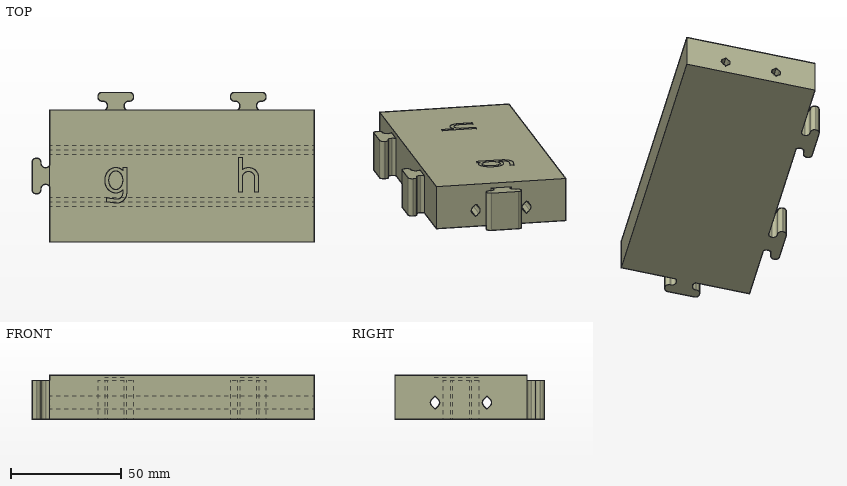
import cadquery as cq
import math

field_side = 60.0
slab_length = 2 * field_side
slab_height = 20.0
field_center_x = field_side / 2

tongue_reach = 7.9
tongue_height = 17.7
tongue_head_width = 16.2
tongue_neck_width = 7.7
tongue_radius = 1.9
tongue_flat = 0.3

hole_radius = 2.0
hole_spacing = 23.5
hole_center_z = 7.5

inlay_depth = 1.0
stroke = 1.8
x_height_top = 3.8
baseline = -7.3
ascender_top = 8.5

h_left = -4.5
h_right = 4.7

g_half_width = 5.0
g_bowl_bottom = -7.7
g_bowl_stroke = 1.5
g_hook_radius = 4.6
g_hook_center_y = -7.7
g_hook_end_x = -4.2
g_hook_end_rise = 0.6


def tongue():
    """Connector tongue standing on the line Y = 0 and pointing along +Y."""
    head_half_width = tongue_head_width / 2
    neck_half_width = tongue_neck_width / 2
    corner_x = head_half_width - tongue_radius
    hollow_x = neck_half_width + tongue_radius
    top_corner_y = tongue_reach - tongue_radius
    low_corner_y = top_corner_y - tongue_flat
    head_bottom = low_corner_y - tongue_radius
    top_hollow_y = head_bottom - tongue_radius
    low_hollow_y = top_hollow_y - tongue_flat
    root_half_width = hollow_x - math.sqrt(tongue_radius**2 - low_hollow_y**2)
    root_angle = math.asin(low_hollow_y / tongue_radius)
    root_mid_x = hollow_x - tongue_radius * math.cos(root_angle / 2)
    root_mid_y = low_hollow_y - tongue_radius * math.sin(root_angle / 2)
    diagonal = tongue_radius * math.sqrt(0.5)
    half_profile = (
        cq.Workplane("XY")
        .lineTo(root_half_width, 0)
        .threePointArc((root_mid_x, root_mid_y), (neck_half_width, low_hollow_y))
        .lineTo(neck_half_width, top_hollow_y)
        .threePointArc((hollow_x - diagonal, top_hollow_y + diagonal), (hollow_x, head_bottom))
        .lineTo(corner_x, head_bottom)
        .threePointArc((corner_x + diagonal, low_corner_y - diagonal), (head_half_width, low_corner_y))
        .lineTo(head_half_width, top_corner_y)
        .threePointArc((corner_x + diagonal, top_corner_y + diagonal), (corner_x, tongue_reach))
        .lineTo(0, tongue_reach)
    )
    return half_profile.mirrorY().extrude(tongue_height)


def pointed_hole(center_y):
    """Through hole along X: round at the sides, with 45 degree points at top and bottom."""
    tangent = hole_radius / math.sqrt(2)
    point = hole_radius * math.sqrt(2)
    return (
        cq.Workplane("YZ", origin=(-slab_length / 2, center_y, hole_center_z))
        .moveTo(0, point)
        .lineTo(tangent, tangent)
        .threePointArc((hole_radius, 0), (tangent, -tangent))
        .lineTo(0, -point)
        .lineTo(-tangent, -tangent)
        .threePointArc((-hole_radius, 0), (-tangent, tangent))
        .close()
        .extrude(slab_length)
    )


def inlay_plane(center_x):
    """Workplane at the floor of the letter recess of one field."""
    return cq.Workplane("XY", origin=(center_x, 0, slab_height - inlay_depth))


def bar(plane, left, bottom, top):
    """Upright letter stroke."""
    return (
        plane.center(left + stroke / 2, (bottom + top) / 2)
        .rect(stroke, top - bottom)
        .extrude(inlay_depth)
    )


def letter_h_inlay():
    plane = inlay_plane(field_center_x)
    outer_radius = (h_right - h_left) / 2
    inner_radius = outer_radius - stroke
    arch_x = (h_left + h_right) / 2
    arch_y = x_height_top - outer_radius
    arch = (
        plane.moveTo(arch_x - outer_radius, arch_y)
        .threePointArc((arch_x, arch_y + outer_radius), (h_right, arch_y))
        .lineTo(h_right - stroke, arch_y)
        .threePointArc((arch_x, arch_y + inner_radius), (arch_x - inner_radius, arch_y))
        .close()
        .extrude(inlay_depth)
    )
    stem = bar(inlay_plane(field_center_x), h_left, baseline, ascender_top)
    leg = bar(inlay_plane(field_center_x), h_right - stroke, baseline, arch_y)
    return stem.union(arch).union(leg).clean()


def letter_g_inlay():
    bowl_half_height = (x_height_top - g_bowl_bottom) / 2
    bowl_center_y = (x_height_top + g_bowl_bottom) / 2
    bowl = (
        inlay_plane(-field_center_x)
        .center(0, bowl_center_y)
        .ellipse(g_half_width, bowl_half_height)
        .ellipse(g_half_width - stroke, bowl_half_height - g_bowl_stroke)
        .extrude(inlay_depth)
    )
    stem = bar(inlay_plane(-field_center_x), g_half_width - stroke, g_hook_center_y, x_height_top)

    inner_radius = g_hook_radius - stroke
    hook_x = g_half_width - g_hook_radius
    diagonal = math.sqrt(0.5)
    outer_bottom = g_hook_center_y - g_hook_radius
    inner_bottom = g_hook_center_y - inner_radius
    hook = (
        inlay_plane(-field_center_x)
        .moveTo(g_half_width, g_hook_center_y)
        .threePointArc(
            (hook_x + g_hook_radius * diagonal, g_hook_center_y - g_hook_radius * diagonal),
            (hook_x, outer_bottom),
        )
        .lineTo(g_hook_end_x, outer_bottom + g_hook_end_rise)
        .lineTo(g_hook_end_x, inner_bottom + g_hook_end_rise)
        .lineTo(hook_x, inner_bottom)
        .threePointArc(
            (hook_x + inner_radius * diagonal, g_hook_center_y - inner_radius * diagonal),
            (g_half_width - stroke, g_hook_center_y),
        )
        .close()
        .extrude(inlay_depth)
    )
    return bowl.union(stem).union(hook).clean()


def slab(inlays):
    """Slab with its tongues and holes, recessed to take the inlays."""
    body = cq.Workplane("XY").box(slab_length, field_side, slab_height, centered=(True, True, False))
    for center_x in (-field_center_x, field_center_x):
        body = body.union(tongue().translate((center_x, field_side / 2, 0)))
    side_tongue = tongue().rotate((0, 0, 0), (0, 0, 1), 90)
    body = body.union(side_tongue.translate((-slab_length / 2, 0, 0)))
    for center_y in (-hole_spacing / 2, hole_spacing / 2):
        body = body.cut(pointed_hole(center_y))
    for inlay in inlays:
        body = body.cut(inlay)
    return body


letter_g = letter_g_inlay()
letter_h = letter_h_inlay()
chess_slab = slab([letter_g, letter_h])

result = cq.Compound.makeCompound(
    [chess_slab.solids().val(), letter_g.solids().val(), letter_h.solids().val()]
)